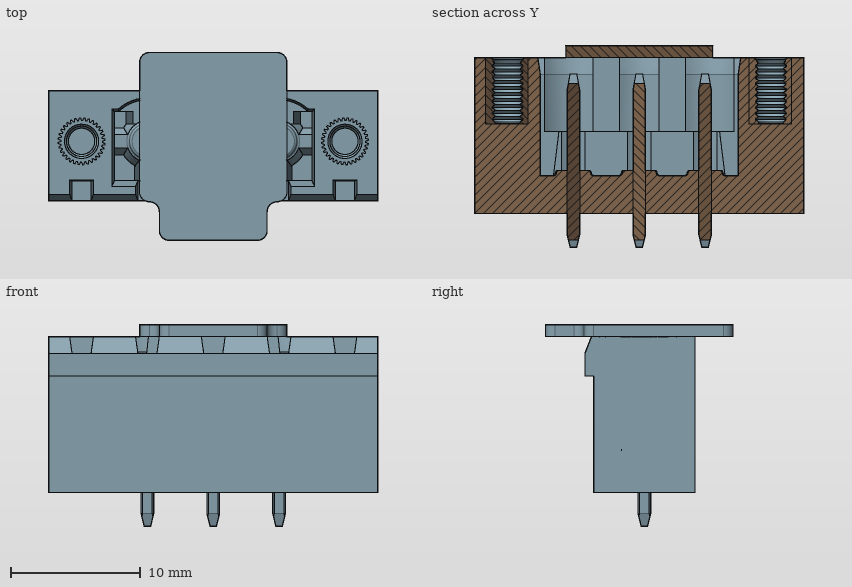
import cadquery as cq
import math

length = 25.4
half_width = 3.9
height = 12.05
overlap = 0.25

lip_reach = 0.69
lip_height = 3.05
lip_bevel_height = 1.3
lip_bevel_width = 0.5
lip_front = -half_width - lip_reach

pitch = 5.08
pin_places = [-pitch, 0.0, pitch]
insert_places = [-2 * pitch, 2 * pitch]
notch_places = [*insert_places, *pin_places]

notch_top_width = 1.83
notch_floor_width = 1.47
notch_back = -3.0
notch_back_draft = 0.08

cavity_floor = 2.03
cavity_half_length = 7.82
cavity_back = 2.5
cavity_front = -3.48
lead_in_depth = lip_bevel_height
end_lead_in = 0.2
back_lead_in = 0.2
front_lead_in = 0.45

pocket_top_radius = 3.35
pocket_radius = 3.2
pocket_half_length = 7.37
pocket_floor = 6.35

ledge_foot_half_length = 6.73
ledge_top_half_length = 6.2
ledge_front = 1.32
front_block_foot_half_length = 6.07
front_block_top_half_length = 5.0
front_block_foot_back = -1.93
front_block_top_back = -0.6
divider_start = 1.52
divider_front = 1.9

socket_height = 0.91
socket_top = cavity_floor + socket_height
socket_base_radius = 2.1
socket_diameter = 3.18
socket_clearance_diameter = 3.2
rim_radius = 0.2
ridge_top_half_width = 0.5
ridge_slope = 0.53

pin_width = 1.0
pin_edge = 0.13
pin_bottom = -2.6
pin_bottom_taper = 1.0
pin_top = 10.8
pin_top_taper = 1.27
pin_tip_width = 0.5

insert_depth = 5.08
knurl_diameter = 3.63
knurl_root_diameter = 3.2
knurl_teeth = 32
thread_pitch = 0.45
thread_minor_radius = 1.02
thread_major_radius = 1.25
thread_entry_radius = 1.32
thread_land_radius = 1.17
thread_land_height = 0.1
thread_turns = 10

cover_thickness = 0.95
cover_half_length = 5.7
cover_back = 6.85
cover_shoulder = -4.67
cover_tab_front = -7.65
cover_radius = 0.75
cover_tab_half_length = cover_half_length - 2 * cover_radius


def frustum(bottom, bottom_z, top, top_z):
    """Four-sided solid between two rectangles given as (x0, x1, y0, y1)."""
    rings = []
    for (x0, x1, y0, y1), z in ((bottom, bottom_z), (top, top_z)):
        corners = [(x0, y0, z), (x1, y0, z), (x1, y1, z), (x0, y1, z)]
        rings.append(cq.Wire.makePolygon([cq.Vector(*c) for c in corners], close=True))
    return cq.Workplane(obj=cq.Solid.makeLoft(rings, True))


def box_between(x0, x1, y0, y1, z0, z1):
    return frustum((x0, x1, y0, y1), z0, (x0, x1, y0, y1), z1)


def pin_blank():
    """Square bar with bevelled long edges, before its tips are formed."""
    bar = cq.Workplane("XY", origin=(0, 0, pin_bottom))
    bar = bar.rect(pin_width, pin_width).extrude(pin_top - pin_bottom)
    return bar.edges("|Z").chamfer(pin_edge)


def pin_tip(tip_z, base_z):
    """Pyramid envelope from the small tip to the full pin width."""
    tip = pin_tip_width / 2
    base = pin_width / 2
    return frustum((-tip, tip, -tip, tip), tip_z, (-base, base, -base, base), base_z)


def make_pin(x):
    bottom_shoulder = pin_bottom + pin_bottom_taper
    top_shoulder = pin_top - pin_top_taper
    half = pin_width / 2
    envelope = box_between(-half, half, -half, half, bottom_shoulder, top_shoulder)
    envelope = envelope.union(pin_tip(pin_bottom, bottom_shoulder))
    envelope = envelope.union(pin_tip(pin_top, top_shoulder))
    return pin_blank().intersect(envelope).translate((x, 0, 0))


def knurled_bar():
    """Toothed bar that gives both the insert and its seat their outline."""
    root = knurl_root_diameter / 2
    crest = knurl_diameter / 2
    quarter = math.pi / (2 * knurl_teeth)
    points = []
    for tooth in range(knurl_teeth):
        for step, radius in enumerate((root, crest, crest, root)):
            angle = (4 * tooth + step) * quarter
            points.append((radius * math.cos(angle), radius * math.sin(angle)))
    bar = cq.Workplane("XY", origin=(0, 0, height - insert_depth))
    return bar.polyline(points).close().extrude(insert_depth)


def thread_cutter():
    """Bore with a V-groove at each pitch below a bevelled, stepped entry."""
    land_top = height - (thread_entry_radius - thread_land_radius)
    land_bottom = land_top - thread_land_height
    first_groove = land_bottom - (thread_land_radius - thread_minor_radius)
    points = [
        (0, height),
        (thread_entry_radius, height),
        (thread_land_radius, land_top),
        (thread_land_radius, land_bottom),
        (thread_minor_radius, first_groove),
    ]
    for turn in range(thread_turns):
        groove_z = first_groove - turn * thread_pitch
        points.append((thread_major_radius, groove_z - thread_pitch / 2))
        points.append((thread_minor_radius, groove_z - thread_pitch))
    points += [(thread_minor_radius, height - insert_depth), (0, height - insert_depth)]
    return cq.Workplane("XZ").polyline(points).close().revolve(360, (0, 0, 0), (0, 1, 0))


def make_insert(x):
    return knurled_bar().cut(thread_cutter()).translate((x, 0, 0))


def housing_block():
    """Block and bevelled lip as one profile along X."""
    bevel_start = height - lip_bevel_height
    lip_bottom = height - lip_height
    profile = [
        (half_width, 0),
        (half_width, height),
        (lip_front + lip_bevel_width, height),
        (lip_front, bevel_start),
        (lip_front, lip_bottom),
        (-half_width, lip_bottom),
        (-half_width, 0),
    ]
    return cq.Workplane("YZ", origin=(-length / 2, 0, 0)).polyline(profile).close().extrude(length)


def cavity():
    top = (-cavity_half_length, cavity_half_length, cavity_front, cavity_back)
    half = cavity_half_length - end_lead_in
    walls = (-half, half, cavity_front + front_lead_in, cavity_back - back_lead_in)
    lead_in_start = height - lead_in_depth
    straight = box_between(*walls, cavity_floor, lead_in_start)
    return straight.union(frustum(walls, lead_in_start, top, height))


def back_pockets():
    """Pockets around each pin, tapered at the mouth, kept to the back of the cavity."""
    taper_end = height - lead_in_depth
    profile = [
        (0, pocket_floor),
        (pocket_radius, pocket_floor),
        (pocket_radius, taper_end),
        (pocket_top_radius, height),
        (0, height),
    ]
    pocket = cq.Workplane("XZ").polyline(profile).close().revolve(360, (0, 0, 0), (0, 1, 0))
    pockets = cq.Workplane()
    for x in pin_places:
        pockets = pockets.add(pocket.translate((x, 0, 0)))
    pockets = pockets.combine()
    limit = box_between(-pocket_half_length, pocket_half_length, 0, half_width, pocket_floor, height)
    return pockets.intersect(limit)


def ledge_block():
    """Back stretch of the cavity filled up to the pocket floor, cleared around the sockets."""
    foot = (-ledge_foot_half_length, ledge_foot_half_length, ledge_front, cavity_back)
    top = (-ledge_top_half_length, ledge_top_half_length, ledge_front, cavity_back)
    block = frustum(foot, cavity_floor, top, pocket_floor)
    clearance = cq.Workplane("XY", origin=(0, 0, cavity_floor)).circle(socket_clearance_diameter / 2)
    clearance = clearance.extrude(pocket_floor - cavity_floor)
    for x in pin_places:
        block = block.cut(clearance.translate((x, 0, 0)))
    return block


def front_block():
    """Thick middle stretch of the front wall, rising to the top face."""
    foot_half = front_block_foot_half_length
    top_half = front_block_top_half_length
    foot = (-foot_half, foot_half, cavity_front, front_block_foot_back)
    return frustum(foot, cavity_floor, (-top_half, top_half, cavity_front, front_block_top_back), height)


def ridge():
    """Sloped ridge joining the pin sockets to both cavity ends."""
    half = cavity_half_length
    top_half = ridge_top_half_width
    foot_half = top_half + ridge_slope
    foot = (-half, half, -foot_half, foot_half)
    return frustum(foot, cavity_floor, (-half, half, -top_half, top_half), socket_top)


def pin_socket(x):
    """Tapered base with a rim that curves up from it and rounds over at the top."""
    outer = socket_diameter / 2
    wall = outer - rim_radius
    top = wall - rim_radius
    middle_z = socket_top + rim_radius
    bow = rim_radius * math.sqrt(0.5)
    socket = (
        cq.Workplane("XZ")
        .moveTo(0, cavity_floor)
        .lineTo(socket_base_radius, cavity_floor)
        .lineTo(outer, socket_top)
        .threePointArc((outer - bow, middle_z - bow), (wall, middle_z))
        .threePointArc((top + bow, middle_z + bow), (top, middle_z + rim_radius))
        .lineTo(0, middle_z + rim_radius)
        .close()
        .revolve(360, (0, 0, 0), (0, 1, 0))
    )
    return socket.translate((x, 0, 0))


def dividers():
    """Pair of ribs on the back wall, one on each side of the middle pin."""
    outer = pitch - divider_start
    inner = divider_start
    rib = box_between(inner, outer, divider_front, half_width, cavity_floor, height)
    return rib.union(rib.mirror("YZ"))


def coding_notch(x):
    floor_z = height - lip_bevel_height
    top = notch_top_width / 2
    floor = notch_floor_width / 2
    front = lip_front - overlap
    return frustum(
        (x - floor, x + floor, front, notch_back - notch_back_draft),
        floor_z,
        (x - top, x + top, front, notch_back),
        height,
    )


def make_housing():
    housing = housing_block().cut(cavity()).cut(back_pockets())
    housing = housing.union(ledge_block()).union(front_block()).union(ridge()).union(dividers())
    for x in pin_places:
        housing = housing.union(pin_socket(x))
    for x in notch_places:
        housing = housing.cut(coding_notch(x))
    for x in pin_places:
        housing = housing.cut(pin_blank().translate((x, 0, 0)))
    for x in insert_places:
        housing = housing.cut(knurled_bar().translate((x, 0, 0)))
    return housing.solids().val()


def make_cover():
    """Flat plate with a narrower tab and rounded corners."""
    radius = cover_radius
    side = cover_half_length
    tab_side = cover_tab_half_length
    half_outline = (
        cq.Workplane("XY", origin=(0, 0, height))
        .moveTo(0, cover_back)
        .lineTo(side - radius, cover_back)
        .tangentArcPoint((side, cover_back - radius), relative=False)
        .lineTo(side, cover_shoulder + radius)
        .tangentArcPoint((side - radius, cover_shoulder), relative=False)
        .tangentArcPoint((tab_side, cover_shoulder - radius), relative=False)
        .lineTo(tab_side, cover_tab_front + radius)
        .tangentArcPoint((tab_side - radius, cover_tab_front), relative=False)
        .lineTo(0, cover_tab_front)
    )
    return half_outline.mirrorY().extrude(cover_thickness)


housing = make_housing()
cover = make_cover()
pins = [make_pin(x) for x in pin_places]
inserts = [make_insert(x) for x in insert_places]

result = cq.Compound.makeCompound(
    [housing, cover.val(), *[pin.val() for pin in pins], *[insert.val() for insert in inserts]]
)